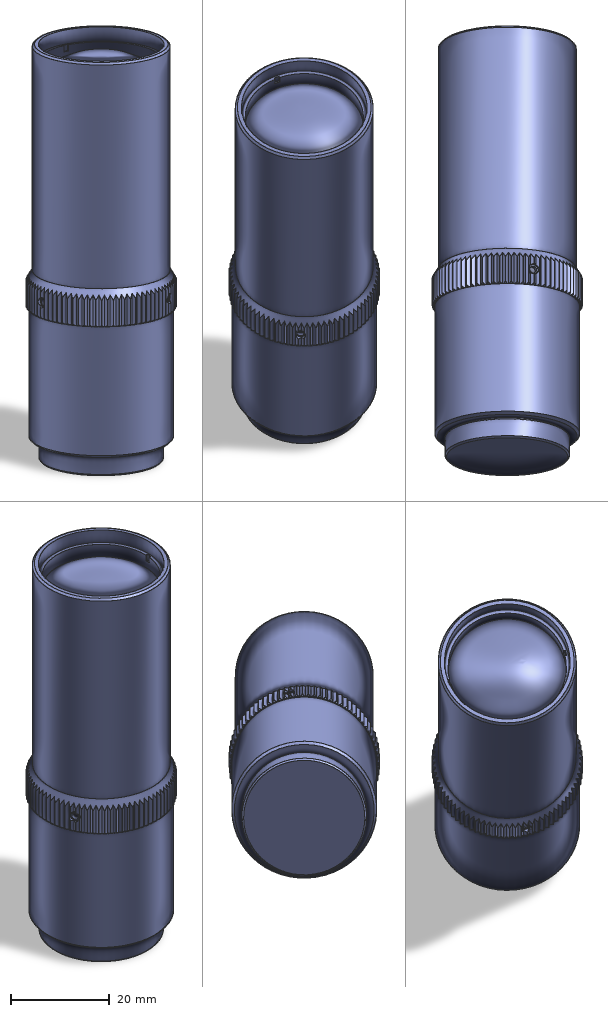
import cadquery as cq
import math

LENGTH = 87.5

NOSE_DIAMETER = 25.3
NOSE_TOP = 3.9
NOSE_CHAMFER = 0.35
NECK_DIAMETER = 24.3

SLEEVE_DIAMETER = 29.4
SLEEVE_BOTTOM = 4.4
SLEEVE_CHAMFER = 0.5

RING_DIAMETER = 30.5
RING_BOTTOM = 32.1
RING_TOP = 39.9
RING_SHOULDER_HEIGHT = 2.1
RING_EDGE_CHAMFER = 0.35
TOOTH_COUNT = 80
TOOTH_TIP_WIDTH = 0.1

TUBE_DIAMETER = 28.0
TUBE_CHAMFER = 0.4

RIM_BORE_DIAMETER = 25.5
RIM_BORE_DEPTH = 3.0
LENS_DIAMETER = 24.0
LENS_EDGE_DEPTH = 5.95
LENS_SAG = 4.2

NOTCH_WIDTH = 1.05
NOTCH_DEPTH = 1.3
NOTCH_ACROSS = 24.7

SCREW_COUNT = 3
FIRST_SCREW_ANGLE = -90.0
SCREW_HEIGHT = 35.5
SCREW_DIAMETER = 2.1
SCREW_FACE_RADIUS = 14.5
SOCKET_DIAMETER = 1.5
SOCKET_DEPTH = 0.9

CUT_CLEARANCE = 0.9


def barrel():
    """Solid of revolution with every outer step, before the ring is knurled."""
    nose_radius = NOSE_DIAMETER / 2
    neck_radius = NECK_DIAMETER / 2
    sleeve_radius = SLEEVE_DIAMETER / 2
    ring_radius = RING_DIAMETER / 2
    tube_radius = TUBE_DIAMETER / 2
    return (
        cq.Workplane("XZ")
        .lineTo(nose_radius - NOSE_CHAMFER, 0)
        .lineTo(nose_radius, NOSE_CHAMFER)
        .lineTo(nose_radius, NOSE_TOP)
        .lineTo(neck_radius, NOSE_TOP)
        .lineTo(neck_radius, SLEEVE_BOTTOM)
        .lineTo(sleeve_radius - SLEEVE_CHAMFER, SLEEVE_BOTTOM)
        .lineTo(sleeve_radius, SLEEVE_BOTTOM + SLEEVE_CHAMFER)
        .lineTo(sleeve_radius, RING_BOTTOM)
        .lineTo(ring_radius - RING_EDGE_CHAMFER, RING_BOTTOM)
        .lineTo(ring_radius, RING_BOTTOM + RING_EDGE_CHAMFER)
        .lineTo(ring_radius, RING_TOP - RING_SHOULDER_HEIGHT)
        .lineTo(tube_radius, RING_TOP)
        .lineTo(tube_radius, LENGTH - TUBE_CHAMFER)
        .lineTo(tube_radius - TUBE_CHAMFER, LENGTH)
        .lineTo(0, LENGTH)
        .close()
        .revolve(360, (0, 0), (0, 1))
    )


def knurl_cutter():
    """Ring of material around a toothed outline, leaving V grooves down to the sleeve radius."""
    tip_radius = RING_DIAMETER / 2
    root_radius = SLEEVE_DIAMETER / 2
    pitch = 2 * math.pi / TOOTH_COUNT
    half_tip = TOOTH_TIP_WIDTH / 2 / tip_radius
    outline = []
    for tooth in range(TOOTH_COUNT):
        middle = tooth * pitch
        corners = [
            (tip_radius, middle - half_tip),
            (tip_radius, middle + half_tip),
            (root_radius, middle + pitch / 2),
        ]
        for radius, angle in corners:
            outline.append((radius * math.cos(angle), radius * math.sin(angle)))
    height = RING_TOP - RING_BOTTOM
    plane = cq.Workplane("XY", origin=(0, 0, RING_BOTTOM))
    toothed = plane.polyline(outline).close().extrude(height)
    return plane.circle(tip_radius + CUT_CLEARANCE).extrude(height).cut(toothed)


def lens_opening():
    """Stepped bore at the top whose floor is the convex face of the lens."""
    rim_radius = RIM_BORE_DIAMETER / 2
    lens_radius = LENS_DIAMETER / 2
    seat = LENGTH - RIM_BORE_DEPTH
    lens_edge = LENGTH - LENS_EDGE_DEPTH
    apex = lens_edge + LENS_SAG
    sphere_radius = (lens_radius**2 + LENS_SAG**2) / (2 * LENS_SAG)
    half_angle = math.asin(lens_radius / sphere_radius) / 2
    arc_middle = (
        sphere_radius * math.sin(half_angle),
        apex - sphere_radius * (1 - math.cos(half_angle)),
    )
    return (
        cq.Workplane("XZ")
        .moveTo(0, apex)
        .threePointArc(arc_middle, (lens_radius, lens_edge))
        .lineTo(lens_radius, seat)
        .lineTo(rim_radius, seat)
        .lineTo(rim_radius, LENGTH + CUT_CLEARANCE)
        .lineTo(0, LENGTH + CUT_CLEARANCE)
        .close()
        .revolve(360, (0, 0), (0, 1))
    )


def spanner_notches():
    """Two opposite notches along X, cut only into the wall of the lens seat bore."""
    seat = LENGTH - RIM_BORE_DEPTH
    plane = cq.Workplane("XY", origin=(0, 0, seat - NOTCH_DEPTH))
    bar = plane.rect(NOTCH_ACROSS, NOTCH_WIDTH).extrude(NOTCH_DEPTH)
    return bar.cut(plane.circle(LENS_DIAMETER / 2).extrude(NOTCH_DEPTH))


def screw_pocket(angle):
    """Radial pocket down to the set screw face, with its smaller socket."""
    direction = cq.Vector(math.cos(math.radians(angle)), math.sin(math.radians(angle)), 0)
    centre = cq.Vector(0, 0, SCREW_HEIGHT)
    face_plane = cq.Plane(
        origin=centre + direction * SCREW_FACE_RADIUS, xDir=cq.Vector(0, 0, 1), normal=direction
    )
    outside = RING_DIAMETER / 2 - SCREW_FACE_RADIUS + CUT_CLEARANCE
    pocket = cq.Workplane(face_plane).circle(SCREW_DIAMETER / 2).extrude(outside)
    socket = cq.Workplane(face_plane).circle(SOCKET_DIAMETER / 2).extrude(-SOCKET_DEPTH)
    return pocket.union(socket)


result = barrel().cut(knurl_cutter()).cut(lens_opening()).cut(spanner_notches())
for index in range(SCREW_COUNT):
    screw_angle = FIRST_SCREW_ANGLE + index * 360 / SCREW_COUNT
    result = result.cut(screw_pocket(screw_angle))